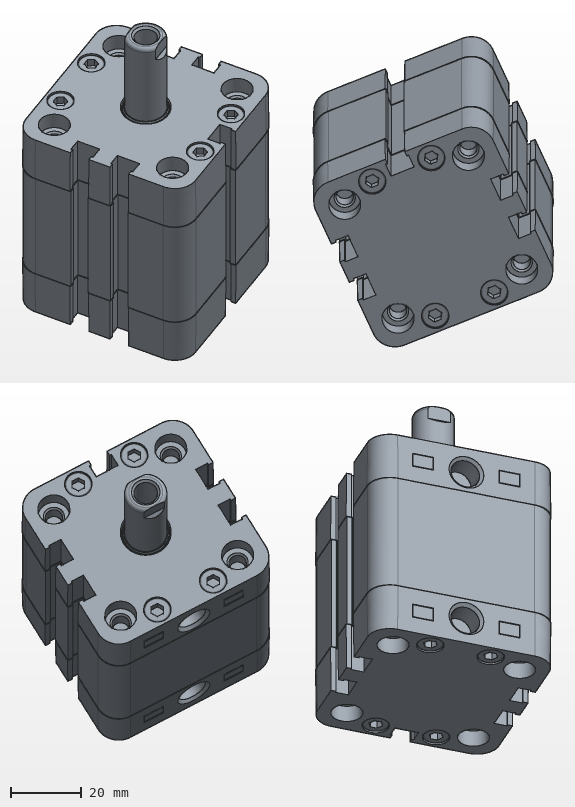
import cadquery as cq
import math

total_height = 92.0
cap_height = 14.5
body_height = 64.95
barrel_height = body_height - 2 * cap_height
barrel_bottom = cap_height
front_cap_bottom = barrel_bottom + barrel_height

cap_width = 54.8
cap_corner_radius = 6.8
cap_draft = 0.7
barrel_width = 54.6
barrel_corner_radius = 6.8

slot_spacing = 12.8
slot_floor = 21.9
slot_lip_inside = 25.8
cap_slot_width = 7.1
cap_mouth_width = 6.0
barrel_slot_clearance = 0.23
barrel_lip_fillet = 0.3
slot_places = [
    (0, 0.0),
    (90, -slot_spacing / 2),
    (90, slot_spacing / 2),
    (270, -slot_spacing / 2),
    (270, slot_spacing / 2),
]

port_diameter = 8.6
port_mouth_diameter = 10.6
port_height = 8.0
bore_diameter = 40.0

label_width = 6.2
label_height = 4.1
label_offset = 13.0
label_level = 7.3
label_depth = 0.4

mount_spacing = 38.0
mount_bore_diameter = 9.0
mount_bore_depth = 5.1
mount_hole_diameter = 4.9
mount_hole_mouth_diameter = 6.0
mount_hole_depth = 10.1

screw_spacing_x = 44.9
screw_spacing_y = 18.1
screw_bore_diameter = 7.7
screw_head_diameter = 7.5
screw_bore_depth = 3.7
screw_head_recess = 0.4
screw_edge_fillet = 0.3
socket_flats = 3.5
socket_depth = 2.3

rod_diameter = 12.0
rod_tip_fillet = 1.2
rod_flats = 9.9
rod_flat_length = 4.4
rod_hole_diameter = 6.6
rod_hole_mouth_diameter = 8.0
rod_hole_depth = 18.4
rod_hole_tip_angle = 118.0
wiper_mouth_diameter = 14.35
wiper_bore_diameter = 13.7
wiper_root_diameter = 13.2
wiper_lip_diameter = 12.5
wiper_groove_depth = 0.5
wiper_lip_depth = 0.1


def rounded_square(width, radius):
    return cq.Sketch().rect(width, width).vertices().fillet(radius)


def slot_cutters(height, clearance=0.0, lip_fillet=0.0):
    """One T-shaped cutter per slot, shrunk by the clearance, with optional rounding inside the lips."""
    beyond = cap_width
    floor = slot_floor + clearance
    lip_inside = slot_lip_inside - clearance
    slot_width = cap_slot_width - 2 * clearance
    mouth_width = cap_mouth_width - 2 * clearance
    cutters = []
    for angle, offset in slot_places:
        channel = cq.Workplane().box(
            lip_inside - floor, slot_width, height, centered=(False, True, False)
        )
        mouth = cq.Workplane().box(
            beyond - floor, mouth_width, height, centered=(False, True, False)
        )
        cutter = channel.union(mouth)
        if lip_fillet:
            inner_lip_corners = cq.selectors.BoxSelector(
                (lip_inside - floor - lip_fillet, -mouth_width / 2 - lip_fillet, 0),
                (lip_inside - floor + lip_fillet, mouth_width / 2 + lip_fillet, height),
            )
            cutter = cutter.edges("|Z").edges(inner_lip_corners).fillet(lip_fillet)
        cutter = cutter.translate((floor, offset, 0))
        cutters.append(cutter.rotate((0, 0, 0), (0, 0, 1), angle))
    return cutters


def cut_all(body, cutters):
    for cutter in cutters:
        body = body.cut(cutter)
    return body


def cone_between(large_diameter, small_diameter):
    """A 45-degree cone, wide end at Z = 0, narrowing downwards."""
    depth = (large_diameter - small_diameter) / 2
    wide_end = cq.Workplane().circle(large_diameter / 2)
    return wide_end.workplane(offset=-depth).circle(small_diameter / 2).loft()


def port_cutter():
    """A chamfered bore from the -X side that ends on the bore cylinder."""
    mouth = cone_between(port_mouth_diameter, port_diameter)
    drill = cq.Workplane().circle(port_diameter / 2).extrude(-cap_width / 2)
    cutter = mouth.union(drill).rotate((0, 0, 0), (0, 1, 0), -90)
    cutter = cutter.translate((-cap_width / 2, 0, cap_height - port_height))
    core = cq.Workplane().circle(bore_diameter / 2).extrude(cap_height)
    return cutter.cut(core)


def label_cutter(side):
    """A shallow rectangular recess beside the port on the -X side."""
    recess = cq.Workplane().box(2 * label_depth, label_width, label_height)
    return recess.translate(
        (-cap_width / 2, side * label_offset, cap_height - label_level)
    )


def mounting_hole_cutter():
    """A counterbored blind hole with a chamfered mouth, entering from Z = 0 downwards."""
    counterbore = cq.Workplane().circle(mount_bore_diameter / 2).extrude(-mount_bore_depth)
    mouth = cone_between(mount_hole_mouth_diameter, mount_hole_diameter)
    hole = cq.Workplane().circle(mount_hole_diameter / 2).extrude(-mount_hole_depth)
    return counterbore.union(mouth.translate((0, 0, -mount_bore_depth))).union(hole)


def screw_cutter():
    """The bore around and above a screw head, together with the head's hexagon socket."""
    bore = cq.Workplane().circle(screw_bore_diameter / 2).extrude(-screw_bore_depth)
    head_height = screw_bore_depth - screw_head_recess
    head = cq.Workplane().circle(screw_head_diameter / 2).extrude(head_height)
    head = head.faces(">Z").edges().fillet(screw_edge_fillet)
    socket_corners = socket_flats / math.cos(math.radians(30))
    socket = cq.Workplane().polygon(6, socket_corners).extrude(-socket_depth)
    socket = socket.rotate((0, 0, 0), (0, 0, 1), 90).translate((0, 0, head_height))
    return bore.cut(head.cut(socket).translate((0, 0, -screw_bore_depth)))


def make_cap():
    """A cap with its barrel side on Z = 0 and its outer end face up."""
    cap = cq.Workplane().placeSketch(rounded_square(cap_width, cap_corner_radius))
    cap = cap.extrude(cap_height, taper=cap_draft)
    cap = cut_all(cap, slot_cutters(cap_height))
    cap = cap.cut(port_cutter())
    for side in (-1, 1):
        cap = cap.cut(label_cutter(side))
    for x in (-0.5, 0.5):
        for y in (-0.5, 0.5):
            mount_place = (x * mount_spacing, y * mount_spacing, cap_height)
            cap = cap.cut(mounting_hole_cutter().translate(mount_place))
            screw_place = (x * screw_spacing_x, y * screw_spacing_y, cap_height)
            cap = cap.cut(screw_cutter().translate(screw_place))
    return cap


def rod_passage_cutter():
    """The rod bore, opening through a conical wiper lip that stands in a shallow groove."""
    mouth_radius = wiper_mouth_diameter / 2
    bore_radius = wiper_bore_diameter / 2
    return (
        cq.Workplane("XZ")
        .moveTo(0, cap_height)
        .lineTo(mouth_radius, cap_height)
        .lineTo(bore_radius, cap_height - (mouth_radius - bore_radius))
        .lineTo(bore_radius, cap_height - wiper_groove_depth)
        .lineTo(wiper_root_diameter / 2, cap_height - wiper_groove_depth)
        .lineTo(wiper_lip_diameter / 2, cap_height - wiper_lip_depth)
        .lineTo(rod_diameter / 2, cap_height - wiper_lip_depth)
        .lineTo(rod_diameter / 2, 0)
        .lineTo(0, 0)
        .close()
        .revolve()
    )


def make_front_cap():
    return make_cap().cut(rod_passage_cutter()).translate((0, 0, front_cap_bottom))


def make_rear_cap():
    return make_cap().mirror("XY").translate((0, 0, cap_height))


def make_barrel():
    barrel = cq.Workplane().placeSketch(rounded_square(barrel_width, barrel_corner_radius))
    barrel = barrel.extrude(barrel_height)
    slots = slot_cutters(barrel_height, barrel_slot_clearance, barrel_lip_fillet)
    return cut_all(barrel, slots).translate((0, 0, barrel_bottom))


def make_rod():
    """The rod, resting on the barrel and running out through the front cap."""
    length = total_height - front_cap_bottom
    rod = cq.Workplane().circle(rod_diameter / 2).extrude(length)
    rod = rod.faces(">Z").edges().fillet(rod_tip_fillet)
    flat_depth = (rod_diameter - rod_flats) / 2
    flat = (
        cq.Workplane("XZ")
        .moveTo(rod_flats / 2, length)
        .lineTo(rod_flats / 2, length - rod_flat_length)
        .lineTo(rod_diameter / 2, length - rod_flat_length - flat_depth)
        .lineTo(rod_diameter, length - rod_flat_length - flat_depth)
        .lineTo(rod_diameter, length)
        .close()
        .extrude(rod_diameter, both=True)
    )
    rod = rod.cut(flat).cut(flat.mirror("YZ"))
    hole_radius = rod_hole_diameter / 2
    mouth_radius = rod_hole_mouth_diameter / 2
    tip_depth = hole_radius / math.tan(math.radians(rod_hole_tip_angle / 2))
    hole = (
        cq.Workplane("XZ")
        .moveTo(0, length)
        .lineTo(mouth_radius, length)
        .lineTo(hole_radius, length - (mouth_radius - hole_radius))
        .lineTo(hole_radius, length - rod_hole_depth)
        .lineTo(0, length - rod_hole_depth - tip_depth)
        .close()
        .revolve()
    )
    return rod.cut(hole).translate((0, 0, front_cap_bottom))


front_cap = make_front_cap()
rear_cap = make_rear_cap()
barrel = make_barrel()
rod = make_rod()

result = cq.Compound.makeCompound([front_cap.val(), rear_cap.val(), barrel.val(), rod.val()])